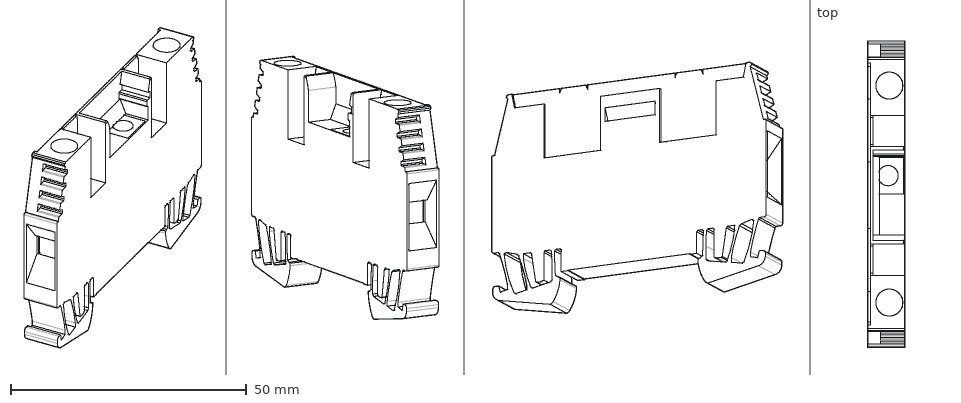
import cadquery as cq

WIDTH = 7.9
HALF_LENGTH = 32.5
HEIGHT = 47.45
X_MIN = -WIDTH / 2
X_MAX = WIDTH / 2

SHOULDER_Z = 34.45
SHOULDER_ROUND = 0.3
SLOPE_FOOT_Y = 31.85
SLOPE_TOP_Y = 28.7
SLOPE_TOP_Z = 46.4
LIP_Y = 29.1
LIP_Z = 46.9
TOP_END_Y = 28.55

BELLY_Z = 7.0
BODY_END_Z = 12.95
EDGE_ROUND = 0.5
SLOT_ROUND = 0.3
INNER_LEG_Y = 17.6
STEM_Y = 16.05
STEM_LIP_Y = 14.4
STEM_LIP_Z = 6.9
SLOT_TOP_Z = 11.95

SLOTS_Y = -0.25
RECESS_DEPTH = 0.6
RECESS_Z = 44.3
RECESS_TOP_Y = 27.75
RECESS_END_Y = 27.1
TAB_Z = 32.45
TAB_INNER = 7.0
TAB_OUTER = 20.4

WALL_X = -2.8
POCKET_INNER = 10.35
POCKET_OUTER = 16.95
NOTCH_DEPTH = 1.0
NOTCH_WIDTH = 0.45
BAY_HALF = 9.55
BAY_FLOOR_Z = 37.7
LATCH_Z = 44.6
LATCH_REACH = 0.8
LATCH_ROUND = 0.25
BUMP_TOP_Z = 42.85
BUMP_BOTTOM_Z = 41.35
BUMP_REACH = 1.35
FAR_CURVE_REACH = 1.2
FAR_CURVE_MIDDLE = 0.7
RIB_CHAMFER = 0.25

WINDOW_HALF = 5.9
WINDOW_BOTTOM_Z = 38.7
WINDOW_TOP_Z = 41.65
WINDOW_DEPTH = 1.4
WINDOW_LIP = 0.25
RAMP_TOP_Z = 40.95
RAMP_FOOT_X = -1.4

SHAFT_X = 0.65
SHAFT_Y = 23.0
SHAFT_RADIUS = 2.85

GROOVE_COUNT = 4
GROOVE_PITCH = 2.9
GROOVE_TOP_Z = 45.7
GROOVE_HEIGHT = 1.5
GROOVE_ROOF_DROP = 0.65
GROOVE_DEPTH = 1.25
GROOVE_START_X = -1.25
GROOVE_ROUND = 0.25

FUNNEL_X_MIN = -3.4
FUNNEL_X_MAX = 3.45
FUNNEL_BOTTOM_Z = 17.35
FUNNEL_TOP_Z = 32.0
FUNNEL_DEPTH = 4.8
FUNNEL_ROOF_DEPTH = 4.0

BAR_BOTTOM_Z = 22.05
BAR_TOP_Z = 26.9
BAR_HALF_LENGTH = HALF_LENGTH - FUNNEL_DEPTH
BAR_CLEARANCE = 0.2
BLOCK_LENGTH = 7.8
BLOCK_END_X = 3.65
BLOCK_HOLE_X = 0.4
BLOCK_HOLE_RADIUS = 2.15
BLOCK_HOLE_DEPTH = 5.2


def box(x_range, y_range, z_range):
    """Box between the given limits."""
    sizes = [high - low for low, high in (x_range, y_range, z_range)]
    corner = (x_range[0], y_range[0], z_range[0])
    return cq.Workplane("XY").box(*sizes, centered=False).translate(corner)


def along_x(profile, x_start, x_end):
    """Extrude a closed (Y, Z) profile from x_start to x_end."""
    return profile.extrude(x_end - x_start).translate((x_start, 0, 0))


def prism(points, x_start, x_end):
    """Prism along X over a polygon of (Y, Z) points."""
    return along_x(cq.Workplane("YZ").polyline(points).close(), x_start, x_end)


def both_ends(shape):
    """The +Y shape together with its mirror image at the -Y end."""
    return shape.union(shape.mirror("XZ"))


def half_outline():
    """Closed (Y, Z) outline of the +Y half, with the spring foot that clips on a rail."""
    return (
        cq.Workplane("YZ")
        .moveTo(0, HEIGHT)
        .lineTo(TOP_END_Y, HEIGHT)
        .lineTo(28.9, 47.25)
        .lineTo(LIP_Y, LIP_Z)
        .lineTo(SLOPE_TOP_Y, SLOPE_TOP_Z)
        .lineTo(SLOPE_FOOT_Y, SHOULDER_Z)
        .lineTo(HALF_LENGTH - SHOULDER_ROUND, SHOULDER_Z)
        .radiusArc((HALF_LENGTH, SHOULDER_Z - SHOULDER_ROUND), SHOULDER_ROUND)
        .lineTo(HALF_LENGTH, BODY_END_Z + EDGE_ROUND)
        .radiusArc((HALF_LENGTH - EDGE_ROUND, BODY_END_Z), EDGE_ROUND)
        .lineTo(30.95, BODY_END_Z)
        .lineTo(30.7, 12.6)
        .threePointArc((29.65, 9.15), (28.8, 5.6))
        .lineTo(28.8, 4.55)
        .lineTo(30.5, 4.15)
        .lineTo(30.9, 5.6)
        .lineTo(31.5, 5.6)
        .threePointArc((32.1, 5.4), (32.3, 4.9))
        .lineTo(32.3, 4.2)
        .threePointArc((31.9, 3.1), (30.7, 2.35))
        .lineTo(18.65, 0)
        .threePointArc((18.25, 0.2), (17.95, 0.5))
        .threePointArc((16.85, 2.7), (16.3, 5.15))
        .lineTo(16.3, 5.65)
        .lineTo(16.85, 5.8)
        .lineTo(17.4, 6.25)
        .threePointArc((17.55, 8.45), (INNER_LEG_Y, SLOT_TOP_Z - SLOT_ROUND))
        .lineTo(INNER_LEG_Y - SLOT_ROUND, SLOT_TOP_Z)
        .lineTo(STEM_Y + SLOT_ROUND, SLOT_TOP_Z)
        .lineTo(STEM_Y, SLOT_TOP_Z - SLOT_ROUND)
        .lineTo(STEM_Y, STEM_LIP_Z)
        .lineTo(STEM_LIP_Y, STEM_LIP_Z)
        .lineTo(STEM_LIP_Y, BELLY_Z)
        .lineTo(0, BELLY_Z)
        .close()
    )


def outer_foot_window():
    """(Y, Z) outline of the opening between the two outer spring legs."""
    return (
        cq.Workplane("YZ")
        .moveTo(29.6, 12.5)
        .lineTo(29.05, 12.75)
        .lineTo(26.7, 12.1)
        .lineTo(26.2, 11.7)
        .threePointArc((25.0, 8.25), (24.25, 4.95))
        .lineTo(24.25, 3.9)
        .lineTo(26.8, 3.4)
        .lineTo(27.25, 3.65)
        .threePointArc((28.8, 8.05), (29.6, 12.5))
        .close()
    )


def inner_foot_window():
    """(Y, Z) outline of the U-shaped opening around the overload stop."""
    return (
        cq.Workplane("YZ")
        .moveTo(25.0, SLOT_TOP_Z)
        .lineTo(23.35, SLOT_TOP_Z)
        .lineTo(23.1, 11.65)
        .lineTo(22.1, 5.45)
        .lineTo(21.9, 5.25)
        .lineTo(21.0, 5.25)
        .lineTo(20.15, 5.5)
        .lineTo(20.15, 11.65)
        .lineTo(19.9, SLOT_TOP_Z)
        .lineTo(18.65, SLOT_TOP_Z)
        .lineTo(18.4, 11.65)
        .threePointArc((18.25, 9.95), (18.2, 8.25))
        .lineTo(18.2, 5.4)
        .lineTo(18.6, 4.95)
        .lineTo(22.9, 4.1)
        .lineTo(23.3, 4.4)
        .threePointArc((24.4, 7.7), (25.0, 10.9))
        .close()
    )


def housing_blank():
    half = along_x(half_outline(), X_MIN, X_MAX)
    for window in (outer_foot_window(), inner_foot_window()):
        half = half.cut(along_x(window, X_MIN, X_MAX))
    return both_ends(half)


def face_recess():
    """Shallow recess along the top of the -X face, with two deeper tabs."""
    depth_end = X_MIN + RECESS_DEPTH
    band = [
        (RECESS_TOP_Y, HEIGHT),
        (-RECESS_TOP_Y, HEIGHT),
        (-RECESS_END_Y, RECESS_Z),
        (RECESS_END_Y, RECESS_Z),
    ]
    recess = prism(band, X_MIN, depth_end)
    for side in (-1, 1):
        y_range = sorted(SLOTS_Y + side * y for y in (TAB_INNER, TAB_OUTER))
        recess = recess.union(box((X_MIN, depth_end), y_range, (TAB_Z, HEIGHT)))
    return recess


def jumper_pocket(side):
    """Pocket open to the top and +X, with a notch in the thin wall at each end."""
    inner = SLOTS_Y + side * POCKET_INNER
    outer = SLOTS_Y + side * POCKET_OUTER
    pocket = box((WALL_X, X_MAX), sorted((inner, outer)), (TAB_Z, HEIGHT))
    for end, towards_middle in ((inner, side), (outer, -side)):
        notch = [
            (end, HEIGHT),
            (end, HEIGHT - NOTCH_DEPTH),
            (end + towards_middle * NOTCH_WIDTH, HEIGHT),
        ]
        pocket = pocket.union(prism(notch, X_MIN, WALL_X))
    return pocket


def middle_bay():
    """Bay between the ribs: latch and bump on the +Y rib, a curved -Y rib, a ramp at -X."""
    latch_end = SLOTS_Y + BAY_HALF
    curve_end = SLOTS_Y - BAY_HALF
    bump_y = latch_end - BUMP_REACH
    latch_y = latch_end - LATCH_REACH
    curve_y = curve_end + FAR_CURVE_REACH
    profile = (
        cq.Workplane("YZ")
        .moveTo(latch_end, HEIGHT)
        .lineTo(latch_y, LATCH_Z)
        .lineTo(latch_end, LATCH_Z - LATCH_ROUND)
        .lineTo(latch_end, BUMP_TOP_Z)
        .lineTo(bump_y + LATCH_ROUND, BUMP_TOP_Z)
        .lineTo(bump_y, BUMP_TOP_Z - LATCH_ROUND)
        .lineTo(bump_y, BUMP_BOTTOM_Z)
        .lineTo(latch_y, BUMP_BOTTOM_Z - LATCH_ROUND)
        .lineTo(latch_y, BAY_FLOOR_Z)
        .lineTo(curve_y, BAY_FLOOR_Z)
        .lineTo(curve_y, LATCH_Z)
        .threePointArc((curve_end + FAR_CURVE_MIDDLE, (HEIGHT + LATCH_Z) / 2), (curve_end, HEIGHT))
        .close()
    )
    ramp = (
        cq.Workplane("XZ")
        .polyline([(WALL_X, RAMP_TOP_Z), (RAMP_FOOT_X, BAY_FLOOR_Z), (WALL_X, BAY_FLOOR_Z)])
        .close()
        .extrude(HALF_LENGTH, both=True)
    )
    return along_x(profile, WALL_X, X_MAX).cut(ramp)


def rib_chamfers():
    """Chamfer along the +X top edge of both ribs."""
    triangle = [
        (X_MAX - RIB_CHAMFER, HEIGHT),
        (X_MAX, HEIGHT),
        (X_MAX, HEIGHT - RIB_CHAMFER),
    ]
    chamfer = cq.Workplane("XZ").polyline(triangle).close().extrude(POCKET_INNER, both=True)
    return chamfer.translate((0, SLOTS_Y, 0))


def wedge_window():
    """Window in the -X face that gets deeper towards its flat bottom."""
    back_x = X_MIN + WINDOW_DEPTH
    points = [
        (X_MIN, WINDOW_TOP_Z),
        (back_x, WINDOW_BOTTOM_Z + WINDOW_LIP),
        (back_x, WINDOW_BOTTOM_Z),
        (X_MIN, WINDOW_BOTTOM_Z),
    ]
    wedge = cq.Workplane("XZ").polyline(points).close().extrude(WINDOW_HALF, both=True)
    return wedge.translate((0, SLOTS_Y, 0))


def screw_shaft():
    """Round shaft from the top down to the conductor bar."""
    return (
        cq.Workplane("XY", origin=(SHAFT_X, SHAFT_Y, BAR_TOP_Z))
        .circle(SHAFT_RADIUS)
        .extrude(HEIGHT - BAR_TOP_Z)
    )


def slope_y(z):
    """Y of the sloping +Y end face at height z."""
    share = (SLOPE_TOP_Z - z) / (SLOPE_TOP_Z - SHOULDER_Z)
    return SLOPE_TOP_Y + share * (SLOPE_FOOT_Y - SLOPE_TOP_Y)


def grip_groove(top_z):
    """Groove with a sloping roof, a level floor, a bevelled inner corner and a rounded lip."""
    floor_z = top_z - GROOVE_HEIGHT
    lip_z = floor_z - GROOVE_ROUND
    back_y = slope_y(top_z) - GROOVE_DEPTH
    lip_y = slope_y(lip_z)
    profile = (
        cq.Workplane("YZ")
        .moveTo(slope_y(top_z), top_z)
        .lineTo(back_y, top_z - GROOVE_ROOF_DROP)
        .lineTo(back_y, floor_z + GROOVE_ROUND)
        .lineTo(back_y + GROOVE_ROUND, floor_z)
        .lineTo(lip_y - GROOVE_ROUND, floor_z)
        .radiusArc((lip_y, lip_z), GROOVE_ROUND)
        .lineTo(HALF_LENGTH, lip_z)
        .lineTo(HALF_LENGTH, top_z)
        .close()
    )
    return along_x(profile, GROOVE_START_X, X_MAX)


def grip_grooves():
    """Row of grooves in the +Y end, open towards +X."""
    row = cq.Workplane("XY")
    for index in range(GROOVE_COUNT):
        row = row.union(grip_groove(GROOVE_TOP_Z - index * GROOVE_PITCH))
    return row


def wire_funnel():
    """Wire entry in the +Y end, its roof and floor closing in on the conductor bar."""
    inner_y = HALF_LENGTH - FUNNEL_DEPTH
    points = [
        (HALF_LENGTH, FUNNEL_BOTTOM_Z),
        (HALF_LENGTH, FUNNEL_TOP_Z),
        (HALF_LENGTH - FUNNEL_ROOF_DEPTH, BAR_TOP_Z),
        (inner_y, BAR_TOP_Z),
        (inner_y, BAR_BOTTOM_Z),
    ]
    return prism(points, FUNNEL_X_MIN, FUNNEL_X_MAX)


def conductor_envelope(clearance):
    """Bar and raised block without the hole; the bar is widened towards -X by the clearance."""
    bar = box(
        (WALL_X - clearance, FUNNEL_X_MAX),
        (-BAR_HALF_LENGTH, BAR_HALF_LENGTH),
        (BAR_BOTTOM_Z, BAR_TOP_Z),
    )
    block = box((WALL_X, BLOCK_END_X), (0, BLOCK_LENGTH), (BAR_BOTTOM_Z, BAY_FLOOR_Z))
    return bar.union(block)


def make_housing():
    body = housing_blank().cut(face_recess())
    for side in (-1, 1):
        body = body.cut(jumper_pocket(side))
    body = body.cut(middle_bay()).cut(rib_chamfers()).cut(wedge_window())
    body = body.cut(both_ends(screw_shaft())).cut(both_ends(wire_funnel()))
    body = body.cut(both_ends(grip_grooves()))
    return body.cut(conductor_envelope(BAR_CLEARANCE))


def make_conductor():
    hole = (
        cq.Workplane("XY", origin=(BLOCK_HOLE_X, BLOCK_LENGTH / 2, BAY_FLOOR_Z - BLOCK_HOLE_DEPTH))
        .circle(BLOCK_HOLE_RADIUS)
        .extrude(BLOCK_HOLE_DEPTH)
    )
    return conductor_envelope(0).cut(hole)


housing = make_housing()
conductor = make_conductor()

result = cq.Compound.makeCompound([housing.solids().val(), conductor.solids().val()])